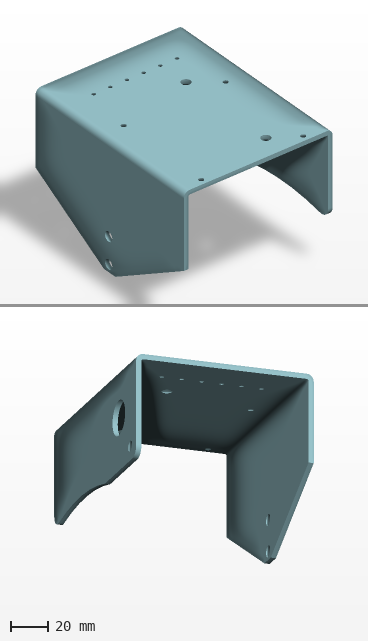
import cadquery as cq

length = 130.0
width = 101.9
thickness = 3.0
bend_radius = 4.0
front_height = 85.3
back_height = 58.2

taper_start_depth = 50.7
tip_center_x = 65.0
tip_width = 10.0
front_hole_x = 64.1
front_hole_depths = (62.4, 80.3)
front_hole_diameter = 6.5

corner_radius = 6.0
relief_start_x = 49.4
relief_rise = 5.3
back_hole_x = 9.5
back_hole_depth = 50.0
back_hole_diameter = 6.0
window_x = 27.5
window_depth = 28.0
window_diameter = 20.0

pattern_center_y = -0.9
row_x = 23.5
row_count = 6
row_pitch = 11.5
row_hole_diameter = 2.5
mount_hole_columns = (58.0, 125.8)
mount_hole_spacing_y = 70.0
mount_hole_diameter = 3.2
large_hole_columns = (45.0, 114.9)
large_hole_y = 17.0
large_hole_diameter = 6.0


def channel():
    """U-shaped sheet with both flanges at full front height."""
    outer = (
        cq.Workplane("XY")
        .box(length, width, front_height, centered=(False, True, False))
        .translate((0, 0, -front_height))
        .edges("|X and >Z")
        .fillet(bend_radius)
    )
    inner = (
        cq.Workplane("XY")
        .box(length, width - 2 * thickness, front_height, centered=(False, True, False))
        .translate((0, 0, -front_height - thickness))
        .edges("|X and >Z")
        .fillet(bend_radius - thickness)
    )
    return outer.cut(inner)


def front_outline():
    """Front flange silhouette tapering to a short flat tip."""
    return (
        cq.Workplane("XZ")
        .moveTo(0, 0)
        .lineTo(length, 0)
        .lineTo(length, -taper_start_depth)
        .lineTo(tip_center_x + tip_width / 2, -front_height)
        .lineTo(tip_center_x - tip_width / 2, -front_height)
        .lineTo(0, -taper_start_depth)
        .close()
        .extrude(width / 2)
    )


def back_outline():
    """Back flange silhouette with rounded corners and a shallow arched lower edge."""
    relief_middle = ((relief_start_x + length) / 2, relief_rise - back_height)
    return (
        cq.Workplane("XZ")
        .moveTo(0, 0)
        .lineTo(length, 0)
        .lineTo(length, -back_height)
        .threePointArc(relief_middle, (relief_start_x, -back_height))
        .lineTo(0, -back_height)
        .close()
        .extrude(-width / 2)
        .edges("|Y and (<X or >X) and (not >Z)")
        .fillet(corner_radius)
    )


def top_holes(points, diameter):
    """Vertical cutters through the top plate."""
    return cq.Workplane("XY").pushPoints(points).circle(diameter / 2).extrude(-2 * thickness)


def flange_hole(x, depth, diameter, side):
    """Cutter from the middle out through one flange; side is -1 for front, 1 for back."""
    return cq.Workplane("XZ").center(x, -depth).circle(diameter / 2).extrude(-side * width)


result = channel().intersect(front_outline().union(back_outline()))

row_points = [
    (row_x, pattern_center_y + (i - (row_count - 1) / 2) * row_pitch)
    for i in range(row_count)
]
mount_points = [
    (x, pattern_center_y + side * mount_hole_spacing_y / 2)
    for x in mount_hole_columns
    for side in (-1, 1)
]
large_points = [(x, large_hole_y) for x in large_hole_columns]
result = result.cut(top_holes(row_points, row_hole_diameter))
result = result.cut(top_holes(mount_points, mount_hole_diameter))
result = result.cut(top_holes(large_points, large_hole_diameter))

for hole_depth in front_hole_depths:
    result = result.cut(flange_hole(front_hole_x, hole_depth, front_hole_diameter, -1))
result = result.cut(flange_hole(back_hole_x, back_hole_depth, back_hole_diameter, 1))
result = result.cut(flange_hole(window_x, window_depth, window_diameter, 1))